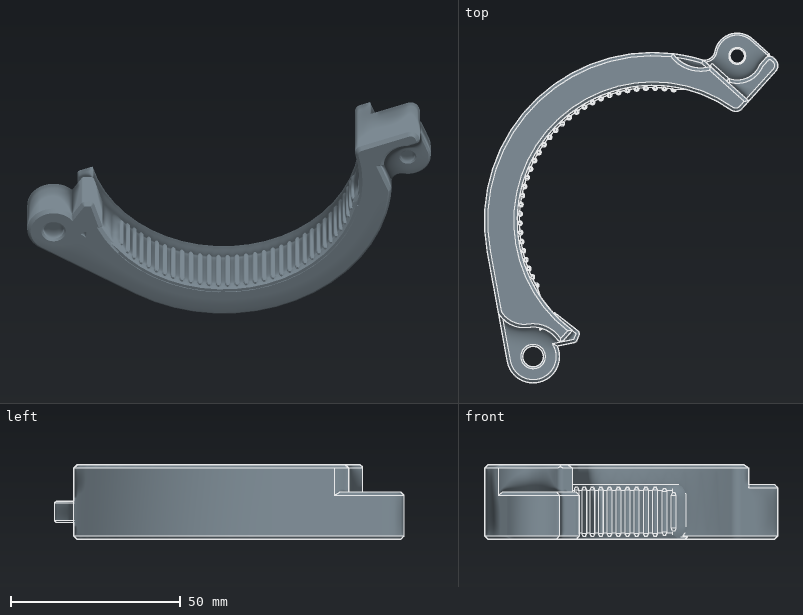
import cadquery as cq
import math


OUTER_RADIUS = 49.7
BORE_RADIUS = 40.0
BODY_HEIGHT = 22.0
EDGE_CHAMFER = 1.0

PARTING_ANGLE = 48.0
UPPER_END_ACROSS = 2.6
LOWER_END_ACROSS = -4.0
END_CORNER_RADIUS = 2.4
RELIEF_CORNER_RADIUS = 1.3

LUG_CENTER = (-35.3, -40.0)
LUG_RADIUS = 7.8
LUG_HEIGHT = 14.0
LUG_HOLE_DIAMETER = 6.0
LUG_COUNTERSINK_DIAMETER = 7.2
LUG_RELIEF_RADIUS = 8.7
BODY_SHOULDER_RADIUS = 8.9
SHOULDER_BEARING = 98.6
LUG_NOTCH = (-29.0, -37.3)
NOSE_OUTER_CORNER = (-22.6, -35.8)
NOSE_INNER_CORNER = (-21.4, -32.9)
NOSE_HEEL = (-29.0, -27.0)
NOSE_CORNER_RADIUS = 1.2

TAB_CENTER_LOCAL = (52.8, 14.05)
TAB_RADIUS = 6.75
TAB_THICKNESS = 6.4
TAB_HOLE_DIAMETER = 4.2
TAB_COUNTERSINK_DIAMETER = 5.0
TAB_CHAMFER = 0.6
TAB_ROOT_FILLET = 3.0
STEP_ALONG = 45.2
STEP_FOOT = 1.0
HOOK_HEIGHT = 16.2
HOOK_TIP_ACROSS = 7.4
HOOK_TIP_RADIUS = 1.5
HOOK_CORNER_RADIUS = 2.5
HOOK_RELIEF_RADIUS = 7.1
SCOOP_CENTER = (14.1, 55.1)
SCOOP_RADIUS = 10.0

PAD_RADIUS = 39.3
PAD_START = 75.5
PAD_END = 214.5
PAD_HEIGHT = 16.0
PAD_SIDE_SLOPE = 1.7
PAD_END_SLOPE = 3.0
PAD_CORNER_RADIUS = 4.0
PAD_END_SPAN = 6.0
PAD_BEVEL_MARGIN = 0.3
TOOTH_FIRST = 81.0
TOOTH_PITCH = 4.0
TOOTH_COUNT = 33
TOOTH_RADIUS = 0.75
TOOTH_TIP_RADIUS = 38.5
TOOTH_LENGTH = 14.6
TOOTH_END_TAPER = 0.9
TOOTH_END_INSET = 0.4
END_TOOTH_LENGTHS = (11.4, 13.8)

OVERLAP = 2.0

MID_HEIGHT = HOOK_HEIGHT / 2
ORIGIN = (0.0, 0.0)


def polar(radius, angle, center=ORIGIN):
    """Point at a radius and an angle in degrees around a centre."""
    turn = math.radians(angle)
    return (center[0] + radius * math.cos(turn), center[1] + radius * math.sin(turn))


def bearing(point, center=ORIGIN):
    """Angle in degrees, 0 to 360, of a point seen from a centre."""
    return math.degrees(math.atan2(point[1] - center[1], point[0] - center[0])) % 360


def local(along, across):
    """Point given along and across the parting direction."""
    turn = math.radians(PARTING_ANGLE)
    return (along * math.cos(turn) - across * math.sin(turn),
            along * math.sin(turn) + across * math.cos(turn))


def arc_middle(start, end, center):
    """Point halfway along the shorter arc between two points on a circle."""
    chord_middle = ((start[0] + end[0]) / 2, (start[1] + end[1]) / 2)
    return polar(math.dist(start, center), bearing(chord_middle, center), center)


def circles_meet(center_a, radius_a, center_b, radius_b, side):
    """Crossing of two circles; side +1 is left of the line from a to b, -1 right."""
    distance = math.dist(center_a, center_b)
    cosine = (radius_a ** 2 + distance ** 2 - radius_b ** 2) / (2 * radius_a * distance)
    return polar(radius_a, bearing(center_b, center_a) + side * math.degrees(math.acos(cosine)), center_a)


def on_circle(radius, across, sign):
    """Point on a circle around the bore axis at a given across position."""
    return local(sign * math.sqrt(radius ** 2 - across ** 2), across)


TAB_CENTER = local(*TAB_CENTER_LOCAL)
LUG_ACROSS = math.dist(ORIGIN, LUG_CENTER) * math.sin(math.radians(bearing(LUG_CENTER) - PARTING_ANGLE))

FLANK_ANGLE = bearing(LUG_CENTER) - math.degrees(
    math.acos((OUTER_RADIUS - LUG_RADIUS) / math.dist(ORIGIN, LUG_CENTER)))
FLANK_START = polar(OUTER_RADIUS, FLANK_ANGLE)
FLANK_END = polar(LUG_RADIUS, FLANK_ANGLE, LUG_CENTER)


def shoulder_on_flank(center):
    """Lower crossing of the flat flank with the rounded body shoulder."""
    normal = math.radians(FLANK_ANGLE)
    gap = OUTER_RADIUS - center[0] * math.cos(normal) - center[1] * math.sin(normal)
    spread = math.degrees(math.acos(gap / BODY_SHOULDER_RADIUS))
    return polar(BODY_SHOULDER_RADIUS, FLANK_ANGLE + spread, center)


def body():
    """Full-height ring section between the two end faces."""
    upper_inner = on_circle(BORE_RADIUS, UPPER_END_ACROSS, 1)
    upper_outer = local(STEP_ALONG, UPPER_END_ACROSS)
    scoop_reach = math.acos((math.dist(ORIGIN, SCOOP_CENTER) * math.cos(
        math.radians(bearing(SCOOP_CENTER) - PARTING_ANGLE)) - STEP_ALONG) / SCOOP_RADIUS)
    scoop_start = polar(SCOOP_RADIUS, PARTING_ANGLE - 180 + math.degrees(scoop_reach), SCOOP_CENTER)
    scoop_end = circles_meet(ORIGIN, OUTER_RADIUS, SCOOP_CENTER, SCOOP_RADIUS, 1)

    relief_start = polar(LUG_RELIEF_RADIUS, SHOULDER_BEARING, LUG_CENTER)
    shoulder_center = polar(LUG_RELIEF_RADIUS + BODY_SHOULDER_RADIUS, SHOULDER_BEARING, LUG_CENTER)
    shoulder_start = shoulder_on_flank(shoulder_center)
    end_offset = LUG_ACROSS - LOWER_END_ACROSS
    relief_end = polar(LUG_RELIEF_RADIUS,
                       PARTING_ANGLE - math.degrees(math.asin(end_offset / LUG_RELIEF_RADIUS)), LUG_CENTER)
    lower_inner = on_circle(BORE_RADIUS, LOWER_END_ACROSS, -1)
    bore_middle = polar(BORE_RADIUS, (bearing(upper_inner) + bearing(lower_inner)) / 2)
    ring_middle = polar(OUTER_RADIUS, (bearing(scoop_end) + FLANK_ANGLE) / 2)

    return (
        cq.Workplane("XY").moveTo(*upper_inner)
        .lineTo(*upper_outer)
        .lineTo(*scoop_start)
        .threePointArc(arc_middle(scoop_start, scoop_end, SCOOP_CENTER), scoop_end)
        .threePointArc(ring_middle, FLANK_START)
        .lineTo(*shoulder_start)
        .threePointArc(arc_middle(shoulder_start, relief_start, shoulder_center), relief_start)
        .threePointArc(arc_middle(relief_start, relief_end, LUG_CENTER), relief_end)
        .lineTo(*lower_inner)
        .threePointArc(bore_middle, upper_inner)
        .close().extrude(BODY_HEIGHT)
        .edges(cq.selectors.NearestToPointSelector((*upper_inner, BODY_HEIGHT / 2)))
        .fillet(END_CORNER_RADIUS)
        .faces("<Z or >Z").chamfer(EDGE_CHAMFER)
        .edges(cq.selectors.NearestToPointSelector((*relief_end, BODY_HEIGHT / 2)))
        .fillet(RELIEF_CORNER_RADIUS)
    )


def lug():
    """Lower-height hinge lug with the nose that reaches past the lower end face."""
    notch_start = polar(LUG_RADIUS, bearing(LUG_NOTCH, LUG_CENTER), LUG_CENTER)
    ring_start = polar(OUTER_RADIUS, 180)
    wall_middle = (OUTER_RADIUS + BORE_RADIUS) / 2
    outline = (
        cq.Workplane("XY").moveTo(*ring_start)
        .threePointArc(arc_middle(ring_start, FLANK_START, ORIGIN), FLANK_START)
        .lineTo(*FLANK_END)
        .threePointArc(polar(LUG_RADIUS, 270, LUG_CENTER), notch_start)
        .lineTo(*NOSE_OUTER_CORNER)
        .lineTo(*NOSE_INNER_CORNER)
        .lineTo(*NOSE_HEEL)
        .lineTo(*polar(wall_middle, bearing(NOSE_HEEL)))
        .lineTo(*polar(wall_middle, 180))
        .close().extrude(LUG_HEIGHT)
    )
    for corner in (NOSE_OUTER_CORNER, NOSE_INNER_CORNER):
        outline = outline.edges(
            cq.selectors.NearestToPointSelector((*corner, LUG_HEIGHT / 2))).fillet(NOSE_CORNER_RADIUS)
    return outline.faces("<Z or >Z").chamfer(EDGE_CHAMFER)


def pin_hole(center, bottom, height, diameter, rim_diameter):
    """Tool for a through hole that is countersunk on both sides."""
    depth = (rim_diameter - diameter) / 2
    sink = cq.Workplane("XY").circle(rim_diameter / 2).workplane(offset=depth).circle(diameter / 2).loft()
    tool = cq.Workplane("XY").circle(diameter / 2).extrude(height)
    tool = tool.union(sink).union(sink.mirror("XY").translate((0, 0, height)))
    return tool.translate((*center, bottom))


def ledge():
    """Ring section left standing at hook height below the scoop."""
    step_across = math.sqrt(OUTER_RADIUS ** 2 - STEP_ALONG ** 2)
    start = local(STEP_ALONG, UPPER_END_ACROSS)
    ring_start = local(STEP_ALONG, step_across)
    ring_end = polar(OUTER_RADIUS, 100)
    wall_middle = (OUTER_RADIUS + BORE_RADIUS) / 2
    inner_end = polar(wall_middle, 100)
    inner_start = on_circle(wall_middle - OVERLAP, UPPER_END_ACROSS, 1)
    return (
        cq.Workplane("XY").moveTo(*start)
        .lineTo(*ring_start)
        .threePointArc(arc_middle(ring_start, ring_end, ORIGIN), ring_end)
        .lineTo(*inner_end)
        .threePointArc(polar(wall_middle - OVERLAP / 2, 75), inner_start)
        .close().extrude(HOOK_HEIGHT)
        .faces("<Z or >Z").chamfer(EDGE_CHAMFER)
    )


def tab():
    """Thin closing tab around the upper hole, blended into the ring."""
    blend_center = circles_meet(ORIGIN, OUTER_RADIUS + TAB_ROOT_FILLET,
                                TAB_CENTER, TAB_RADIUS + TAB_ROOT_FILLET, 1)
    blend_start = polar(TAB_RADIUS, bearing(blend_center, TAB_CENTER), TAB_CENTER)
    blend_end = polar(OUTER_RADIUS, bearing(blend_center))
    edge_along = TAB_CENTER_LOCAL[0] + TAB_RADIUS
    root_along = STEP_ALONG - OVERLAP
    return (
        cq.Workplane("XY").workplane(offset=MID_HEIGHT - TAB_THICKNESS / 2)
        .moveTo(*local(root_along, HOOK_TIP_ACROSS - OVERLAP))
        .lineTo(*local(edge_along - OVERLAP, HOOK_TIP_ACROSS - OVERLAP))
        .lineTo(*local(edge_along, HOOK_TIP_ACROSS))
        .lineTo(*local(edge_along, TAB_CENTER_LOCAL[1]))
        .threePointArc(polar(TAB_RADIUS, PARTING_ANGLE + 50, TAB_CENTER), blend_start)
        .threePointArc(arc_middle(blend_start, blend_end, blend_center), blend_end)
        .lineTo(*polar(OUTER_RADIUS - OVERLAP, bearing(blend_center)))
        .close().extrude(TAB_THICKNESS)
        .faces("<Z or >Z").chamfer(TAB_CHAMFER)
    )


def step_foot():
    """Bevel between the tab's upper face and the step of the body."""
    tab_top = MID_HEIGHT + TAB_THICKNESS / 2
    length = TAB_CENTER_LOCAL[1] - UPPER_END_ACROSS + OVERLAP
    return (
        cq.Workplane("XZ")
        .polyline([(STEP_ALONG - OVERLAP, tab_top - OVERLAP), (STEP_ALONG + STEP_FOOT, tab_top - OVERLAP),
                   (STEP_ALONG + STEP_FOOT, tab_top), (STEP_ALONG, tab_top + STEP_FOOT),
                   (STEP_ALONG - OVERLAP, tab_top + STEP_FOOT)])
        .close().extrude(-length)
        .translate((0, UPPER_END_ACROSS + OVERLAP, 0))
        .rotate((0, 0, 0), (0, 0, 1), PARTING_ANGLE)
    )


def hook():
    """Hook beside the tab, hollowed around the tab hole for the mating lug."""
    root_along = STEP_ALONG - OVERLAP
    hole_along, hole_across = TAB_CENTER_LOCAL
    edge_along = hole_along + TAB_RADIUS
    foot_reach = hole_along - STEP_ALONG - STEP_FOOT
    root_across = hole_across - math.sqrt(HOOK_RELIEF_RADIUS ** 2 - foot_reach ** 2)
    tip_reach = math.sqrt(HOOK_RELIEF_RADIUS ** 2 - (hole_across - HOOK_TIP_ACROSS) ** 2)
    block = (
        cq.Workplane("XY")
        .moveTo(root_along, UPPER_END_ACROSS)
        .lineTo(edge_along, UPPER_END_ACROSS)
        .lineTo(edge_along, HOOK_TIP_ACROSS)
        .lineTo(hole_along + tip_reach, HOOK_TIP_ACROSS)
        .threePointArc((hole_along, hole_across - HOOK_RELIEF_RADIUS), (STEP_ALONG + STEP_FOOT, root_across))
        .lineTo(root_along, root_across)
        .close().extrude(HOOK_HEIGHT)
    )
    for corner, radius in (((edge_along, UPPER_END_ACROSS), HOOK_CORNER_RADIUS),
                           ((edge_along, HOOK_TIP_ACROSS), HOOK_TIP_RADIUS),
                           ((hole_along + tip_reach, HOOK_TIP_ACROSS), HOOK_TIP_RADIUS)):
        block = block.edges(cq.selectors.NearestToPointSelector((*corner, HOOK_HEIGHT / 2))).fillet(radius)
    block = block.faces("<Z or >Z").chamfer(EDGE_CHAMFER)
    return block.rotate((0, 0, 0), (0, 0, 1), PARTING_ANGLE)


def pad_band(start, end):
    """Raised grip band on the bore wall with bevelled long sides, between two angles."""
    half = PAD_HEIGHT / 2
    half_crest = half - PAD_SIDE_SLOPE
    return (
        cq.Workplane("XZ")
        .polyline([(BORE_RADIUS + OVERLAP, MID_HEIGHT - half),
                   (BORE_RADIUS + OVERLAP, MID_HEIGHT + half),
                   (BORE_RADIUS, MID_HEIGHT + half),
                   (PAD_RADIUS, MID_HEIGHT + half_crest),
                   (PAD_RADIUS, MID_HEIGHT - half_crest),
                   (BORE_RADIUS, MID_HEIGHT - half)])
        .close().revolve(end - start, (0, 0, 0), (0, 1, 0))
        .rotate((0, 0, 0), (0, 0, 1), start)
    )


def pad_end(end_angle, inward):
    """Bevelled end of the grip pad with rounded corners; inward is the turn towards its middle."""
    frame_angle = end_angle + inward * PAD_END_SPAN / 2
    reach = BORE_RADIUS * math.sin(math.radians(PAD_END_SPAN / 2))
    root = 3 * reach
    rise = BORE_RADIUS - PAD_RADIUS

    def section(depth):
        """Rounded rectangle of the bevelled end at a depth inside the bore wall."""
        tip = reach - PAD_END_SLOPE * depth / rise
        shrink = PAD_SIDE_SLOPE * depth / rise
        return (
            cq.Sketch().push([((tip - root) / 2, 0)])
            .rect(tip + root, PAD_HEIGHT + 2 * (PAD_BEVEL_MARGIN - shrink))
            .reset().vertices().fillet(PAD_CORNER_RADIUS - shrink)
            .moved(cq.Location(cq.Vector(0, 0, depth)))
        )

    wall_plane = cq.Plane(origin=(*polar(BORE_RADIUS, frame_angle), MID_HEIGHT),
                          xDir=(*polar(1, frame_angle - inward * 90), 0),
                          normal=(*polar(1, frame_angle + 180), 0))
    bevel = (
        cq.Workplane(wall_plane)
        .placeSketch(section(-PAD_BEVEL_MARGIN), section(rise + PAD_BEVEL_MARGIN))
        .loft()
    )
    far_angle = end_angle + inward * 2 * PAD_END_SPAN
    near_angle = end_angle - inward * PAD_END_SPAN
    return bevel.intersect(pad_band(min(near_angle, far_angle), max(near_angle, far_angle)))


def teeth():
    """Upright round grip teeth with tapered ends, shorter towards both ends of the row."""
    tooth_center = TOOTH_TIP_RADIUS + TOOTH_RADIUS
    row = cq.Workplane("XY")
    for index in range(TOOTH_COUNT):
        from_end = min(index, TOOTH_COUNT - 1 - index)
        length = END_TOOTH_LENGTHS[from_end] if from_end < len(END_TOOTH_LENGTHS) else TOOTH_LENGTH
        tooth = (
            cq.Workplane("XY").circle(TOOTH_RADIUS).extrude(length)
            .faces("<Z or >Z").chamfer(TOOTH_END_TAPER, TOOTH_END_INSET)
            .translate((*polar(tooth_center, TOOTH_FIRST + index * TOOTH_PITCH), MID_HEIGHT - length / 2))
        )
        row.add(tooth)
    return row.combine()


result = body().union(lug()).union(ledge()).union(tab()).union(step_foot()).union(hook())
result = result.cut(pin_hole(LUG_CENTER, 0, LUG_HEIGHT, LUG_HOLE_DIAMETER, LUG_COUNTERSINK_DIAMETER))
result = result.cut(pin_hole(TAB_CENTER, MID_HEIGHT - TAB_THICKNESS / 2, TAB_THICKNESS,
                             TAB_HOLE_DIAMETER, TAB_COUNTERSINK_DIAMETER))
result = result.union(pad_band(PAD_START + PAD_END_SPAN, PAD_END - PAD_END_SPAN))
result = result.union(pad_end(PAD_START, 1)).union(pad_end(PAD_END, -1))
result = result.union(teeth())